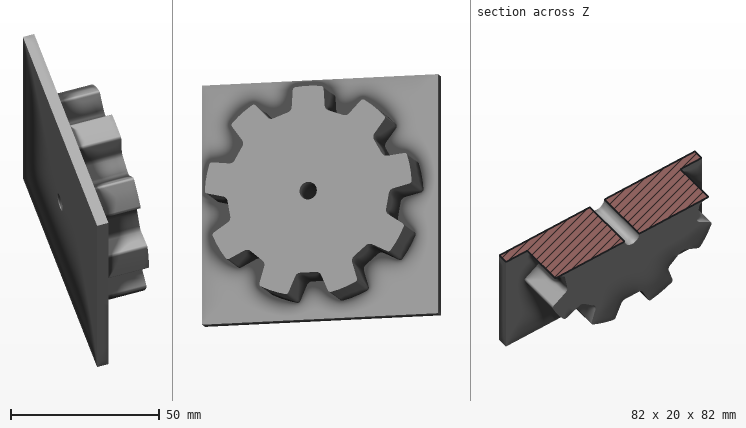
import cadquery as cq
import math

PLATE_SIDE = 82.0
PLATE_THICKNESS = 4.0
BORE_DIAMETER = 6.0

WHEEL_HEIGHT = 16.0
TIP_RADIUS = 36.0
TOOTH_COUNT = 9
TIP_FILLET = 1.0
ROOT_FILLET = 2.0

GAP_FLOOR_RADIUS = 28.0
GAP_FLOOR_WIDTH = 8.0
GAP_MOUTH_WIDTH = 15.0
GAP_OVERSHOOT = 4.0

TOOTH_PITCH = 360.0 / TOOTH_COUNT
TOTAL_DEPTH = PLATE_THICKNESS + WHEEL_HEIGHT


def cylinder(radius, start_y, height):
    """Cylinder on the Y axis, running from start_y towards +Y."""
    base = cq.Workplane("XZ", origin=(0, start_y, 0))
    return base.circle(radius).extrude(-height)


def gap_cutter():
    """Prism that opens one tooth gap, centred on +Z and spreading outwards."""
    floor_half = GAP_FLOOR_WIDTH / 2
    spread = (GAP_MOUTH_WIDTH / 2 - floor_half) / (TIP_RADIUS - GAP_FLOOR_RADIUS)
    outer = TIP_RADIUS + GAP_OVERSHOOT
    outer_half = floor_half + spread * (outer - GAP_FLOOR_RADIUS)
    corners = [
        (-floor_half, GAP_FLOOR_RADIUS),
        (floor_half, GAP_FLOOR_RADIUS),
        (outer_half, outer),
        (-outer_half, outer),
    ]
    base = cq.Workplane("XZ", origin=(0, PLATE_THICKNESS, 0))
    cutter = base.polyline(corners).close().extrude(-WHEEL_HEIGHT)
    floor_edges = cutter.faces("<Z").edges("|Y")
    return floor_edges.fillet(ROOT_FILLET)


def toothed_wheel():
    """Disc with evenly spaced gaps, a tooth on +Z and rounded tooth tips."""
    wheel = cylinder(TIP_RADIUS, PLATE_THICKNESS, WHEEL_HEIGHT)
    cutter = gap_cutter()
    for index in range(TOOTH_COUNT):
        angle = (index + 0.5) * TOOTH_PITCH
        wheel = wheel.cut(cutter.rotate((0, 0, 0), (0, 1, 0), angle))

    middle_radius = (TIP_RADIUS + GAP_FLOOR_RADIUS) / 2
    tip_corners = wheel.edges("|Y").filter(
        lambda edge: math.hypot(edge.Center().x, edge.Center().z) > middle_radius
    )
    return tip_corners.fillet(TIP_FILLET)


def base_plate():
    """Square plate centred on the Y axis, from Y = 0 up to the wheel."""
    plate = cq.Workplane("XZ").rect(PLATE_SIDE, PLATE_SIDE)
    return plate.extrude(-PLATE_THICKNESS)


result = base_plate().union(toothed_wheel())
result = result.cut(cylinder(BORE_DIAMETER / 2, 0, TOTAL_DEPTH))